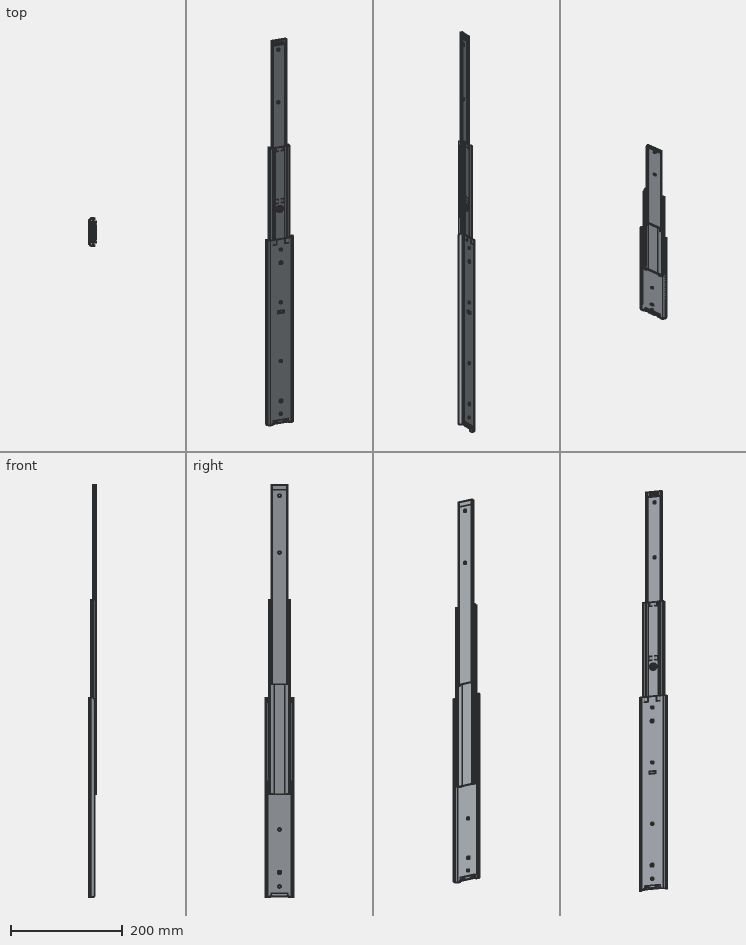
import cadquery as cq

sheet = 1.5
total_height = 737.0

outer_length = 357.0
outer_half_width = 26.0
outer_web_half_width = 21.5
outer_flange_start = 3.0
outer_flange_end = 10.0
outer_flange_bow = 1.1
outer_corner_cut = 2.0
outer_small_hole = 4.8
outer_countersink = 7.0
outer_countersink_hole = 4.0
outer_small_hole_heights = [19.0, 121.0, 234.5, 336.0]
countersunk_hole_heights = [44.0, 311.0]

pocket_depth = 1.1
outer_pocket_shallow_y = 15.0
outer_pocket_deep_y = 8.0
outer_pocket_height = 9.5
middle_pocket_height = 7.5
middle_top_pocket_shallow_y = 3.0
middle_top_pocket_deep_y = 7.5
middle_low_pocket_shallow_y = 3.0
middle_low_pocket_deep_y = 9.0
middle_low_pocket_bottom = 424.5

lug_width = 12.0
lug_thickness = 4.5
lug_height = 216.0
lug_reach = 2.0

web_bottom_gap = 2.0
web_bottom_half_width = 16.0
bottom_notch_offset = 9.0
bottom_notch_radius = 3.0

middle_bottom = 184.0
middle_top = 532.0
middle_half_width = 19.0
middle_depth = 12.5
middle_flange = 2.0
middle_shoulder_x = 4.0
middle_ridge_x = 3.0
middle_ridge_half_width = 15.0
middle_slope_start = 12.5
middle_slope_end = 9.5
middle_web_x = 4.8
middle_nick_height = 279.0
middle_nick_width = 2.0
middle_nick_depth = 2.0

inner_length = 357.0
inner_half_width = 15.0
inner_edge_x = 7.0
inner_flange = 2.0
inner_hole = 4.8
inner_corner_radius = 2.0
inner_hole_heights = [616.0, 718.0]

race_depth = 1.0
outer_race_x = 7.5
inner_race_x = 9.0
race_width = 2.0
outer_strip_bottom = 206.5
outer_strip_top = 349.5
inner_strip_bottom = 391.0
inner_strip_top = 525.0

button_diameter = 12.5
button_head_diameter = 9.0
button_bore = 4.0
button_height = 413.0
button_head_x = 4.0
bumper_length = 9.0
bumper_front_x = 8.0
bumper_lip_x = 7.5
bumper_lip_gap = 2.0
bumper_lip_length = 3.0
bumper_half_width = inner_half_width - inner_flange
bumper_lip_half_width = 9.0
stop_top = 7.5
stop_half_width = 15.0
stop_thickness = 2.0

inner_bottom = total_height - inner_length
inner_web_x = middle_depth - sheet


def box(x_range, y_range, z_range):
    """An axis-aligned block between the given limits."""
    size = [high - low for low, high in (x_range, y_range, z_range)]
    corner = (x_range[0], y_range[0], z_range[0])
    return cq.Workplane("XY").box(*size, centered=False).translate(corner)


def bar_along_x(diameter, y, z, x_start, x_end):
    """A round bar from x_start to x_end."""
    plane = cq.Workplane("YZ", origin=(x_start, y, z))
    return plane.circle(diameter / 2).extrude(x_end - x_start)


def ramped_pockets(face_x, shallow_y, deep_y, z_range):
    """A mirrored pair of wedges cut into the -X face at face_x, deepening from shallow_y to deep_y."""
    wedge = (
        cq.Workplane("XY", origin=(0, 0, z_range[0]))
        .polyline([(face_x, shallow_y), (face_x, deep_y), (face_x + pocket_depth, deep_y)])
        .close()
        .extrude(z_range[1] - z_range[0])
    )
    return wedge.union(wedge.mirror("XZ"))


def race(x, y, z_range):
    """A square groove cutter, race_depth to either side of y."""
    return box((x - race_width / 2, x + race_width / 2), (y - race_depth, y + race_depth), z_range)


def outer_section():
    """The closed profile of the outer rail: sloped shoulders and bowed flanges."""
    flange_y = outer_half_width - outer_flange_bow
    middle_x = (outer_flange_start + outer_flange_end) / 2
    inside_y = flange_y - sheet
    inside_bow_y = outer_half_width - sheet
    return (
        cq.Workplane("XY")
        .moveTo(0, -outer_web_half_width)
        .lineTo(0, outer_web_half_width)
        .lineTo(outer_flange_start, flange_y)
        .threePointArc((middle_x, outer_half_width), (outer_flange_end, flange_y))
        .lineTo(outer_flange_end, inside_y)
        .threePointArc((middle_x, inside_bow_y), (outer_flange_start + sheet / 2, inside_y))
        .lineTo(sheet, outer_web_half_width - sheet / 2)
        .lineTo(sheet, -outer_web_half_width + sheet / 2)
        .lineTo(outer_flange_start + sheet / 2, -inside_y)
        .threePointArc((middle_x, -inside_bow_y), (outer_flange_end, -inside_y))
        .lineTo(outer_flange_end, -flange_y)
        .threePointArc((middle_x, -outer_half_width), (outer_flange_start, -flange_y))
        .close()
    )


def flange_corner_cuts():
    """Wedges that clip the open corners of both flanges at both ends."""
    cut = outer_corner_cut
    edge = outer_flange_end
    wedges = cq.Workplane("XZ")
    for end, inward in ((0, cut), (outer_length, -cut)):
        wedges = wedges.moveTo(edge - cut, end).lineTo(edge, end).lineTo(edge, end + inward).close()
    return wedges.extrude(outer_half_width, both=True)


def countersunk_hole(z):
    """A cutter for a hole through the outer web, widening towards its -X face."""
    return (
        cq.Workplane("YZ", origin=(0, 0, z))
        .circle(outer_countersink / 2)
        .workplane(offset=sheet)
        .circle(outer_countersink_hole / 2)
        .loft()
    )


def make_outer_rail():
    rail = outer_section().extrude(outer_length).cut(flange_corner_cuts())

    for z in outer_small_hole_heights:
        rail = rail.cut(bar_along_x(outer_small_hole, 0, z, 0, sheet))
    for z in countersunk_hole_heights:
        rail = rail.cut(countersunk_hole(z))

    pocket_z = (outer_length - outer_pocket_height, outer_length)
    rail = rail.cut(ramped_pockets(0, outer_pocket_shallow_y, outer_pocket_deep_y, pocket_z))

    bottom_y = (-web_bottom_half_width, web_bottom_half_width)
    rail = rail.cut(box((0, sheet), bottom_y, (0, web_bottom_gap)))
    for y in (-bottom_notch_offset, bottom_notch_offset):
        rail = rail.cut(bar_along_x(2 * bottom_notch_radius, y, web_bottom_gap, 0, sheet))

    half = lug_width / 2
    lug_z = (lug_height - lug_thickness / 2, lug_height + lug_thickness / 2)
    rail = rail.union(box((sheet, sheet + lug_reach), (-half, half), lug_z))
    return rail.cut(box((0, sheet / 2), (-half, half), lug_z))


def middle_section():
    """The closed profile of the middle rail: a recessed web between raised shoulders."""
    flange_inside = middle_half_width - middle_flange
    half = [
        (middle_web_x, middle_slope_end),
        (middle_ridge_x, middle_slope_start),
        (middle_ridge_x, middle_ridge_half_width),
        (middle_shoulder_x, middle_ridge_half_width),
        (middle_shoulder_x, middle_half_width),
        (middle_depth, middle_half_width),
        (middle_depth, flange_inside),
        (middle_web_x + sheet, flange_inside),
    ]
    mirrored = [(x, -y) for x, y in reversed(half)]
    return cq.Workplane("XY", origin=(0, 0, middle_bottom)).polyline(half + mirrored).close()


def make_middle_rail():
    full_z = (middle_bottom, middle_top)
    rail = middle_section().extrude(middle_top - middle_bottom)
    for side in (-1, 1):
        rail = rail.cut(race(outer_race_x, side * middle_half_width, full_z))

    top_z = (middle_top - middle_pocket_height, middle_top)
    low_z = (middle_low_pocket_bottom, middle_low_pocket_bottom + middle_pocket_height)
    rail = rail.cut(
        ramped_pockets(middle_web_x, middle_top_pocket_shallow_y, middle_top_pocket_deep_y, top_z)
    )
    rail = rail.cut(
        ramped_pockets(middle_web_x, middle_low_pocket_shallow_y, middle_low_pocket_deep_y, low_z)
    )

    nick_z = (middle_nick_height - middle_nick_width / 2, middle_nick_height + middle_nick_width / 2)
    nick_y = (-middle_half_width, middle_half_width)
    rail = rail.cut(box((middle_depth - middle_nick_depth, middle_depth), nick_y, nick_z))
    return rail.cut(bar_along_x(button_diameter, 0, button_height, 0, middle_web_x + sheet))


def make_inner_rail():
    z_range = (inner_bottom, total_height)
    y_range = (-inner_half_width, inner_half_width)
    rail = box((inner_edge_x, middle_depth), y_range, z_range)
    rail = rail.faces(">X").edges("|Z").fillet(inner_corner_radius)
    rail = rail.cut(box((inner_edge_x, inner_web_x), (-bumper_half_width, bumper_half_width), z_range))
    for side in (-1, 1):
        rail = rail.cut(race(inner_race_x, side * inner_half_width, z_range))
    for z in inner_hole_heights:
        rail = rail.cut(bar_along_x(inner_hole, 0, z, inner_web_x, middle_depth))
    return rail


def make_retainer_strip(race_x, y_range, z_range):
    """A ball retainer strip that fills the space between two facing rails."""
    return box((race_x - race_width / 2, race_x + race_width / 2), y_range, z_range)


def make_button():
    """The stepped round button in the web of the middle rail."""
    base = bar_along_x(button_diameter, 0, button_height, middle_web_x, middle_web_x + sheet)
    head = bar_along_x(button_head_diameter, 0, button_height, button_head_x, middle_web_x)
    bore = bar_along_x(button_bore, 0, button_height, button_head_x, middle_web_x)
    return base.union(head).cut(bore)


def make_bumper():
    """The end bumper between the flanges of the inner rail, with a raised lip."""
    bottom = total_height - bumper_length
    sides = (-bumper_half_width, bumper_half_width)
    lip_sides = (-bumper_lip_half_width, bumper_lip_half_width)
    body = box((bumper_front_x, inner_web_x), sides, (bottom, total_height))
    lip_bottom = bottom + bumper_lip_gap
    lip_z = (lip_bottom, lip_bottom + bumper_lip_length)
    return body.union(box((bumper_lip_x, bumper_front_x), lip_sides, lip_z))


def make_bottom_stop():
    """The stop block behind the bottom edge of the outer web."""
    y_range = (-stop_half_width, stop_half_width)
    return box((sheet, sheet + stop_thickness), y_range, (web_bottom_gap / 2, stop_top))


outer_rail = make_outer_rail()
middle_rail = make_middle_rail()
inner_rail = make_inner_rail()
button = make_button()
bumper = make_bumper()
bottom_stop = make_bottom_stop()

outer_strip_y = (middle_half_width - race_depth, outer_half_width - outer_flange_bow - sheet)
inner_strip_y = (inner_half_width - race_depth, middle_half_width - middle_flange)
strips = []
for race_x, y_range, z_range in (
    (outer_race_x, outer_strip_y, (outer_strip_bottom, outer_strip_top)),
    (inner_race_x, inner_strip_y, (inner_strip_bottom, inner_strip_top)),
):
    strip = make_retainer_strip(race_x, y_range, z_range)
    strips += [strip, strip.mirror("XZ")]

result = cq.Compound.makeCompound(
    [
        outer_rail.solids().val(),
        middle_rail.solids().val(),
        inner_rail.solids().val(),
        *[strip.val() for strip in strips],
        button.solids().val(),
        bumper.solids().val(),
        bottom_stop.solids().val(),
    ]
)